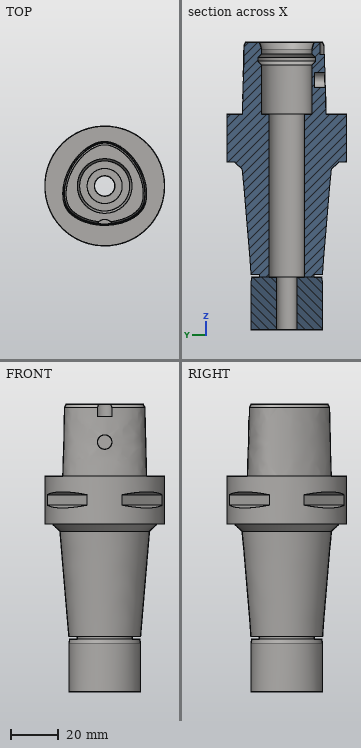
import cadquery as cq
import math

TOTAL_HEIGHT = 120.0
SHANK_LENGTH = 30.0
FLANGE_HEIGHT = 20.0
COLLAR_HEIGHT = 3.0
NUT_HEIGHT = 22.0
NECK_HEIGHT = 1.1
FLANGE_TOP = TOTAL_HEIGHT - SHANK_LENGTH
FLANGE_BOTTOM = FLANGE_TOP - FLANGE_HEIGHT
COLLAR_BOTTOM = FLANGE_BOTTOM - COLLAR_HEIGHT
NECK_TOP = NUT_HEIGHT + NECK_HEIGHT

SHANK_MEAN_RADIUS = 17.5
LOBE_RISE = 1.1
LOBES = 3
SHANK_TAPER = 1 / 20
SHANK_CHAMFER_HEIGHT = 1.5
SHANK_CHAMFER_INSET = 0.7
OUTLINE_POINTS = 48

FLANGE_RADIUS = 25.02
COLLAR_TOP_RADIUS = 21.8
BODY_TOP_RADIUS = 18.7
BODY_BOTTOM_RADIUS = 15.0
NECK_RADIUS = 11.5

MOUTH_RADIUS = 11.4
BORE_RADIUS = 10.5
MOUTH_DEPTH = 3.1
GROOVE_START = 4.9
GROOVE_END = 9.5
GROOVE_DEPTH = 1.5
BORE_DEPTH = SHANK_LENGTH
LOWER_BORE_RADIUS = 7.3

NOTCH_RADIUS = 3.6
NOTCH_HEIGHT = 5.2
NOTCH_FLOOR_DISTANCE = 13.9
SIDE_HOLE_RADIUS = 3.0
SIDE_HOLE_DROP = 15.8
SIDE_HOLE_DEPTH = 4.8

SLOT_COUNT = 4
SLOT_FLOOR_DISTANCE = 22.1
SLOT_FLOOR_HEIGHT = 4.3
SLOT_MOUTH_HEIGHT = 6.7
SLOT_DROP = 10.0

NUT_RADIUS = 15.0
NUT_BORE_RADIUS = 4.2
NUT_CHAMFER_HEIGHT = 1.8
NUT_CHAMFER_INSET = 0.4


def polygon_wire(mean_radius, z):
    """Closed curve whose tangent distance is mean_radius - rise * sin(3a)."""
    points = []
    for i in range(OUTLINE_POINTS):
        a = 2 * math.pi * i / OUTLINE_POINTS
        distance = mean_radius - LOBE_RISE * math.sin(LOBES * a)
        slope = -LOBES * LOBE_RISE * math.cos(LOBES * a)
        x = distance * math.cos(a) - slope * math.sin(a)
        y = distance * math.sin(a) + slope * math.cos(a)
        points.append(cq.Vector(x, y, z))
    return cq.Wire.assembleEdges([cq.Edge.makeSpline(points, periodic=True)])


def make_shank():
    """Tapered polygon shank with a steeper chamfer at its face."""
    chamfer_start = TOTAL_HEIGHT - SHANK_CHAMFER_HEIGHT
    shoulder_radius = SHANK_MEAN_RADIUS - (chamfer_start - FLANGE_TOP) * SHANK_TAPER / 2
    base = polygon_wire(SHANK_MEAN_RADIUS, FLANGE_TOP)
    shoulder = polygon_wire(shoulder_radius, chamfer_start)
    face = polygon_wire(shoulder_radius - SHANK_CHAMFER_INSET, TOTAL_HEIGHT)
    taper = cq.Workplane(cq.Solid.makeLoft([base, shoulder], True))
    return taper.union(cq.Workplane(cq.Solid.makeLoft([shoulder, face], True)))


def revolve_profile(points):
    """Solid of revolution about Z from (radius, z) points."""
    return cq.Workplane("XZ").polyline(points).close().revolve(360, (0, 0, 0), (0, 1, 0))


def make_holder_body():
    """Flange, conical collar, tapered body and neck."""
    return revolve_profile([
        (0, FLANGE_TOP),
        (FLANGE_RADIUS, FLANGE_TOP),
        (FLANGE_RADIUS, FLANGE_BOTTOM),
        (COLLAR_TOP_RADIUS, FLANGE_BOTTOM),
        (BODY_TOP_RADIUS, COLLAR_BOTTOM),
        (BODY_BOTTOM_RADIUS, NECK_TOP),
        (NECK_RADIUS, NECK_TOP),
        (NECK_RADIUS, NUT_HEIGHT),
        (0, NUT_HEIGHT),
    ])


def make_bore():
    """Tapered mouth, bore with a 45 degree sided groove, and the lower bore."""
    groove_radius = BORE_RADIUS + GROOVE_DEPTH
    return revolve_profile([
        (0, TOTAL_HEIGHT),
        (MOUTH_RADIUS, TOTAL_HEIGHT),
        (BORE_RADIUS, TOTAL_HEIGHT - MOUTH_DEPTH),
        (BORE_RADIUS, TOTAL_HEIGHT - GROOVE_START),
        (groove_radius, TOTAL_HEIGHT - GROOVE_START - GROOVE_DEPTH),
        (groove_radius, TOTAL_HEIGHT - GROOVE_END + GROOVE_DEPTH),
        (BORE_RADIUS, TOTAL_HEIGHT - GROOVE_END),
        (BORE_RADIUS, TOTAL_HEIGHT - BORE_DEPTH),
        (LOWER_BORE_RADIUS, TOTAL_HEIGHT - BORE_DEPTH),
        (LOWER_BORE_RADIUS, NUT_HEIGHT),
        (0, NUT_HEIGHT),
    ])


def make_key_notch():
    """Upright round notch, open at the shank face."""
    return (
        cq.Workplane("XY", origin=(0, 0, TOTAL_HEIGHT - NOTCH_HEIGHT))
        .center(0, -NOTCH_FLOOR_DISTANCE - NOTCH_RADIUS)
        .circle(NOTCH_RADIUS)
        .extrude(NOTCH_HEIGHT)
    )


def make_side_hole():
    """Blind round hole entering along +Y."""
    shank_side = SHANK_MEAN_RADIUS - LOBE_RISE
    return (
        cq.Workplane("XZ", origin=(0, SIDE_HOLE_DEPTH - shank_side, TOTAL_HEIGHT - SIDE_HOLE_DROP))
        .circle(SIDE_HOLE_RADIUS)
        .extrude(SIDE_HOLE_DEPTH)
    )


def make_gripper_slot(angle):
    """Straight slot with a flat floor and flaring flanks, facing the given angle."""
    middle = FLANGE_TOP - SLOT_DROP
    floor_half = SLOT_FLOOR_HEIGHT / 2
    mouth_half = SLOT_MOUTH_HEIGHT / 2
    return (
        cq.Workplane("XZ")
        .polyline([
            (SLOT_FLOOR_DISTANCE, middle - floor_half),
            (FLANGE_RADIUS, middle - mouth_half),
            (FLANGE_RADIUS, middle + mouth_half),
            (SLOT_FLOOR_DISTANCE, middle + floor_half),
        ])
        .close()
        .extrude(FLANGE_RADIUS, both=True)
        .rotate((0, 0, 0), (0, 0, 1), angle)
    )


def make_holder():
    holder = make_holder_body().union(make_shank())
    holder = holder.cut(make_bore()).cut(make_key_notch()).cut(make_side_hole())
    slot_pitch = 360 / SLOT_COUNT
    for i in range(SLOT_COUNT):
        holder = holder.cut(make_gripper_slot((i + 0.5) * slot_pitch))
    return holder


def make_nut():
    """Cylindrical nut with a slim cone at its upper edge and a through bore."""
    return revolve_profile([
        (NUT_BORE_RADIUS, 0),
        (NUT_RADIUS, 0),
        (NUT_RADIUS, NUT_HEIGHT - NUT_CHAMFER_HEIGHT),
        (NUT_RADIUS - NUT_CHAMFER_INSET, NUT_HEIGHT),
        (NUT_BORE_RADIUS, NUT_HEIGHT),
    ])


holder = make_holder()
nut = make_nut()
result = cq.Compound.makeCompound([holder.solids().val(), nut.val()])